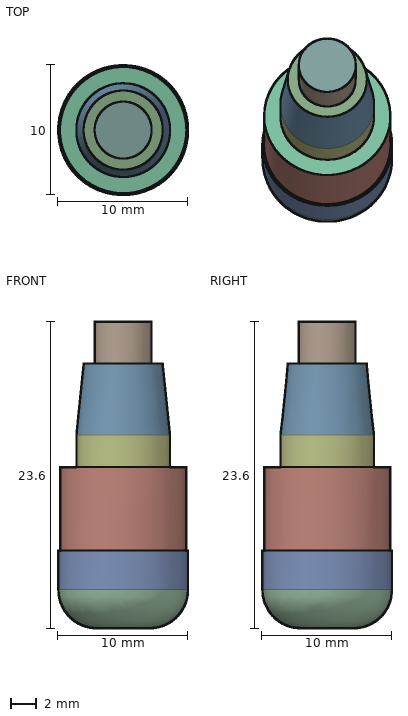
import cadquery as cq

total_height = 23.6
cap_height = 6.0
barrel_top = 12.41
collar_top = 14.9
sleeve_top = 20.4

cap_radius = 5.0
cap_rounding = 3.0
barrel_radius = 4.85
collar_radius = 3.6
sleeve_tip_radius = 3.05
stem_radius = 2.2


def make_cap():
    """Short cylinder with a generously rounded lower edge."""
    cap = cq.Workplane("XY").circle(cap_radius).extrude(cap_height)
    return cap.faces("<Z").edges().fillet(cap_rounding)


def make_handle():
    """Stepped barrel, collar, tapered sleeve and stem, revolved as one body."""
    return (
        cq.Workplane("XZ")
        .moveTo(0, cap_height)
        .lineTo(barrel_radius, cap_height)
        .lineTo(barrel_radius, barrel_top)
        .lineTo(collar_radius, barrel_top)
        .lineTo(collar_radius, collar_top)
        .lineTo(sleeve_tip_radius, sleeve_top)
        .lineTo(stem_radius, sleeve_top)
        .lineTo(stem_radius, total_height)
        .lineTo(0, total_height)
        .close()
        .revolve(360, (0, 0, 0), (0, 1, 0))
    )


cap = make_cap()
handle = make_handle()

result = cq.Compound.makeCompound([cap.val(), handle.val()])